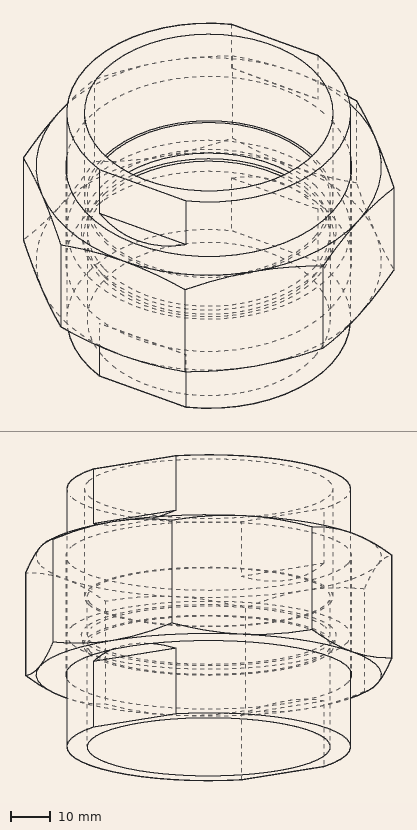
import cadquery as cq
import math

total_height = 67.0
nut_bottom = 18.7
nut_top = 49.5
split_height = 29.0

nut_across_flats = 87.0
nut_sides = 8
nut_hole_radius = 36.0
nut_chamfer_angle = 30.0

sleeve_radius = 35.8
bore_radius = 30.6
socket_radius = 31.3
socket_floor = 38.9

seat_floor = 26.4
seat_floor_radius = 31.6
seat_half_angle = 12.0
seat_rim_radius = seat_floor_radius + (split_height - seat_floor) * math.tan(math.radians(seat_half_angle))

flat_offset = 33.5
upper_flat_start = 52.8
lower_flat_end = 17.05
flat_runout = sleeve_radius - flat_offset


def revolve_profile(points):
    """Revolve a closed (radius, height) outline about Z."""
    return cq.Workplane("XZ").polyline(points).close().revolve(360, (0, 0, 0), (0, 1, 0))


def cut_wrench_flats(sleeve, flat_end, sleeve_end):
    """Cut two opposite flats from sleeve_end to flat_end, sloping out beyond flat_end."""
    slope_direction = math.copysign(1, flat_end - sleeve_end)
    slope_end = flat_end + slope_direction * flat_runout
    for side in (-1, 1):
        cutter = (
            cq.Workplane("YZ")
            .polyline([
                (side * flat_offset, sleeve_end),
                (side * sleeve_radius, sleeve_end),
                (side * sleeve_radius, slope_end),
                (side * flat_offset, flat_end),
            ])
            .close()
            .extrude(sleeve_radius, both=True)
        )
        sleeve = sleeve.cut(cutter)
    return sleeve


def make_nut():
    """Octagonal nut with both ends chamfered down to the across-flats circle."""
    flat_radius = nut_across_flats / 2
    corner_radius = flat_radius / math.cos(math.pi / nut_sides)
    chamfer_drop = (corner_radius - flat_radius) * math.tan(math.radians(nut_chamfer_angle))
    prism = (
        cq.Workplane("XY", origin=(0, 0, nut_bottom))
        .transformed(rotate=(0, 0, 180 / nut_sides))
        .polygon(nut_sides, 2 * corner_radius)
        .extrude(nut_top - nut_bottom)
    )
    chamfered_ring = revolve_profile([
        (nut_hole_radius, nut_bottom),
        (flat_radius, nut_bottom),
        (corner_radius, nut_bottom + chamfer_drop),
        (corner_radius, nut_top - chamfer_drop),
        (flat_radius, nut_top),
        (nut_hole_radius, nut_top),
    ])
    return prism.intersect(chamfered_ring)


def make_upper_sleeve():
    """Upper sleeve with a pipe socket that ends on a narrow ledge."""
    sleeve = revolve_profile([
        (bore_radius, split_height),
        (sleeve_radius, split_height),
        (sleeve_radius, total_height),
        (socket_radius, total_height),
        (socket_radius, socket_floor),
        (bore_radius, socket_floor),
    ])
    return cut_wrench_flats(sleeve, upper_flat_start, total_height)


def make_lower_sleeve():
    """Lower sleeve with a conical seat where it meets the upper sleeve."""
    sleeve = revolve_profile([
        (bore_radius, 0),
        (sleeve_radius, 0),
        (sleeve_radius, split_height),
        (seat_rim_radius, split_height),
        (seat_floor_radius, seat_floor),
        (bore_radius, seat_floor),
    ])
    return cut_wrench_flats(sleeve, lower_flat_end, 0)


nut = make_nut()
upper_sleeve = make_upper_sleeve()
lower_sleeve = make_lower_sleeve()

result = cq.Compound.makeCompound([nut.val(), upper_sleeve.val(), lower_sleeve.val()])